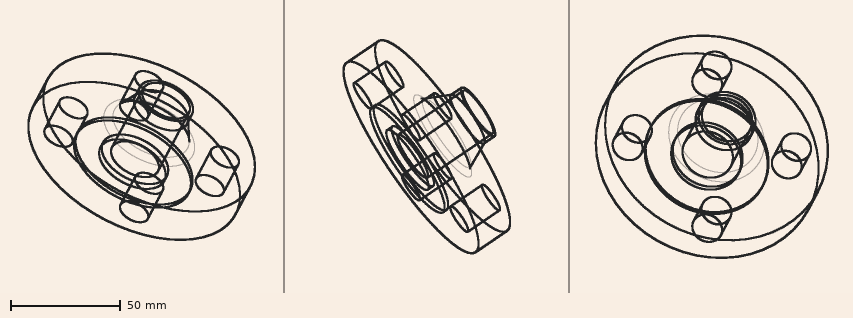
import cadquery as cq

flange_diameter = 105.0
flange_thickness = 18.0
raised_face_diameter = 58.0
raised_face_height = 2.0
overall_length = 40.0

neck_diameter = 26.9
neck_length = 6.0
hub_base_diameter = 40.0
hub_fillet_radius = 4.0

bore_diameter = 23.7
recess_diameter = 33.0
recess_depth = 3.0

bolt_circle_diameter = 75.0
bolt_hole_diameter = 14.1
bolt_hole_count = 4

flange_back = raised_face_height + flange_thickness
neck_start = overall_length - neck_length


def cylinder(diameter, start, length):
    """Solid cylinder on the Y axis, running from start toward +Y."""
    plane = cq.Workplane("XZ", origin=(0, start, 0))
    return plane.circle(diameter / 2).extrude(-length)


def make_body():
    """Revolve the raised face, flange, tapered hub and weld neck."""
    profile = [
        (0, 0),
        (raised_face_diameter / 2, 0),
        (raised_face_diameter / 2, raised_face_height),
        (flange_diameter / 2, raised_face_height),
        (flange_diameter / 2, flange_back),
        (hub_base_diameter / 2, flange_back),
        (neck_diameter / 2, neck_start),
        (neck_diameter / 2, overall_length),
        (0, overall_length),
    ]
    body = cq.Workplane("XY").polyline(profile).close().revolve(360, (0, 0, 0), (0, 1, 0))

    selection_margin = 0.1
    corner_reach = hub_base_diameter / 2 + hub_fillet_radius
    corner = cq.selectors.BoxSelector(
        (-corner_reach, flange_back - selection_margin, -corner_reach),
        (corner_reach, flange_back + selection_margin, corner_reach),
        boundingbox=True,
    )
    return body.edges(corner).fillet(hub_fillet_radius)


def make_bolt_holes():
    """Cutters for the bolt holes, the first on the X axis."""
    return (
        cq.Workplane("XZ")
        .polarArray(bolt_circle_diameter / 2, 0, 360, bolt_hole_count)
        .circle(bolt_hole_diameter / 2)
        .extrude(-flange_back)
    )


bore = cylinder(bore_diameter, 0, overall_length)
recess = cylinder(recess_diameter, 0, recess_depth)

result = make_body().cut(bore).cut(recess).cut(make_bolt_holes())